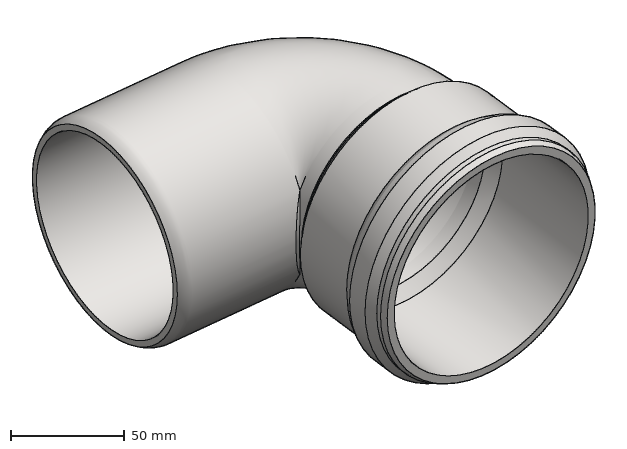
import cadquery as cq
import math

pipe_radius = 110.3 / 2
bore_radius = 99.7 / 2
spigot_length = 70.0
spigot_rounding_length = 6.5
spigot_rounding_depth = 2.2

bend_radius = 50.0
bend_angle = 87.5
half_chord = math.sqrt(pipe_radius**2 - bend_radius**2)

web_rise = 0.7
web_half_width = 1.0

neck_end = 7.3
shoulder_foot = 8.5
shoulder_end = 12.7
sleeve_end = 44.7
bead_step = 48.5
bead_start = 51.8
bead_end = 62.5
lip_start = 66.4
lip_end = 69.0
socket_length = 71.8

shoulder_foot_radius = 55.7
sleeve_radius = 120.5 / 2
socket_bore_radius = 110.9 / 2
bead_step_radius = 63.0
bead_radius = 128.8 / 2
lip_radius = 61.0
rim_radius = 59.5


def revolve_about_y(points):
    """Turn a closed (radius, axial position) outline about the Y axis."""
    outline = cq.Workplane("XY").polyline(points).close()
    return outline.revolve(360, (0, 0, 0), (0, 1, 0))


def turn_bend(section):
    """Turn a section of the XZ plane about the bend axis."""
    return section.revolve(bend_angle, (bend_radius, 1.9, 0), (bend_radius, 0, 0))


def place_on_bend_end(body):
    """Carry a body from the start of the bend to its end."""
    return body.rotate((bend_radius, 0, 0), (bend_radius, 0, 1), -bend_angle)


spigot = (
    cq.Workplane("XY")
    .lineTo(pipe_radius, 0)
    .lineTo(pipe_radius, spigot_rounding_length - spigot_length)
    .tangentArcPoint((pipe_radius - spigot_rounding_depth, -spigot_length), relative=False)
    .lineTo(0, -spigot_length)
    .close()
    .revolve(360, (0, 0, 0), (0, 1, 0))
)
spigot_bore = revolve_about_y([
    (0, 0),
    (bore_radius, 0),
    (bore_radius, -spigot_length),
    (0, -spigot_length),
])

socket = place_on_bend_end(revolve_about_y([
    (0, 0),
    (pipe_radius, 0),
    (pipe_radius, neck_end),
    (shoulder_foot_radius, shoulder_foot),
    (sleeve_radius, shoulder_end),
    (sleeve_radius, sleeve_end),
    (bead_step_radius, bead_step),
    (bead_radius, bead_start),
    (bead_radius, bead_end),
    (lip_radius, lip_start),
    (lip_radius, lip_end),
    (rim_radius, socket_length),
    (0, socket_length),
]))
socket_bore = place_on_bend_end(revolve_about_y([
    (0, 0),
    (bore_radius, 0),
    (bore_radius, neck_end),
    (socket_bore_radius, shoulder_end),
    (socket_bore_radius, socket_length),
    (0, socket_length),
]))

bend = turn_bend(
    cq.Workplane("XZ")
    .moveTo(bend_radius, half_chord)
    .threePointArc((-pipe_radius, 0), (bend_radius, -half_chord))
    .close()
)
bend_bore = turn_bend(cq.Workplane("XZ").circle(bore_radius))

mitre_angle = math.radians(bend_angle / 2)
corner_distance = (pipe_radius - bend_radius) / math.cos(mitre_angle)
mitre_plane = cq.Plane(
    origin=(bend_radius, 0, 0),
    xDir=(math.cos(mitre_angle), -math.sin(mitre_angle), 0),
    normal=(math.sin(mitre_angle), math.cos(mitre_angle), 0),
)
corner_web = (
    cq.Workplane(mitre_plane)
    .moveTo(0, -half_chord)
    .threePointArc((corner_distance + web_rise, 0), (0, half_chord))
    .close()
    .extrude(web_half_width, both=True)
)

outer = spigot.union(bend).union(socket).union(corner_web)
result = outer.cut(bend_bore).cut(spigot_bore).cut(socket_bore)